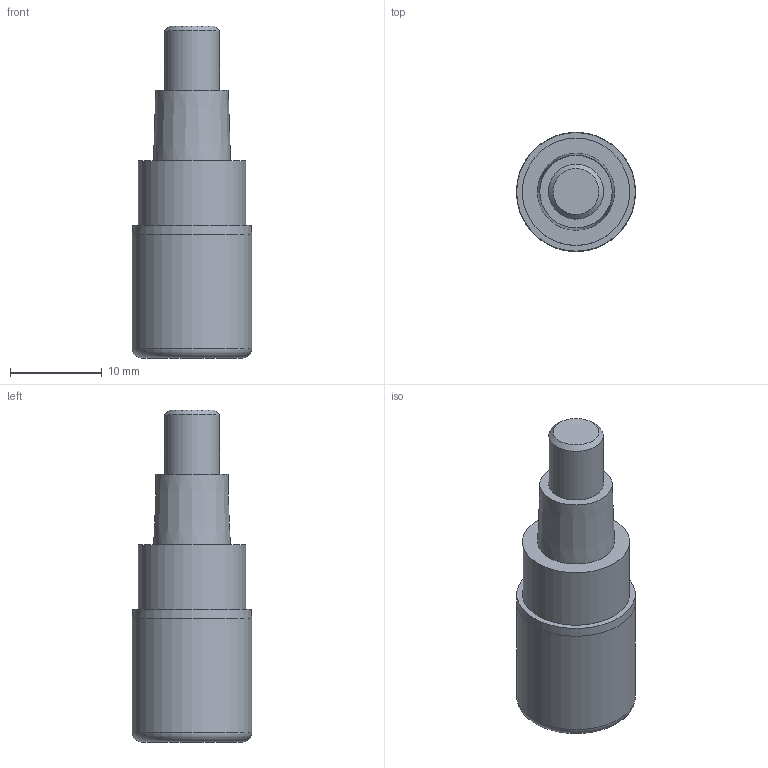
import cadquery as cq
import math


grip_radius = 13.0 / 2
grip_height = 14.5
base_fillet = 1.0
rim_height = 1.0
rim_draft_angle = 2.0

shank_radius = 11.7 / 2
shank_length = 7.0
cone_base_radius = 8.4 / 2
cone_top_radius = 7.9 / 2
cone_length = 7.7
pin_radius = 6.0 / 2
pin_length = 7.0
pin_chamfer = 0.5


def revolve_about_z(outline):
    return outline.close().revolve(360, (0, 0, 0), (0, 1, 0))


def make_grip():
    rim_base = grip_height - rim_height
    rim_top_radius = grip_radius - rim_height * math.tan(math.radians(rim_draft_angle))
    outline = (
        cq.Workplane("XZ")
        .lineTo(grip_radius - base_fillet, 0)
        .radiusArc((grip_radius, base_fillet), -base_fillet)
        .lineTo(grip_radius, rim_base)
        .lineTo(rim_top_radius, grip_height)
        .lineTo(0, grip_height)
    )
    return revolve_about_z(outline)


def make_plunger():
    shank_top = grip_height + shank_length
    cone_top = shank_top + cone_length
    pin_top = cone_top + pin_length
    profile = [
        (0, grip_height),
        (shank_radius, grip_height),
        (shank_radius, shank_top),
        (cone_base_radius, shank_top),
        (cone_top_radius, cone_top),
        (pin_radius, cone_top),
        (pin_radius, pin_top - pin_chamfer),
        (pin_radius - pin_chamfer, pin_top),
        (0, pin_top),
    ]
    return revolve_about_z(cq.Workplane("XZ").polyline(profile))


grip = make_grip()
plunger = make_plunger()

result = cq.Compound.makeCompound([grip.val(), plunger.val()])